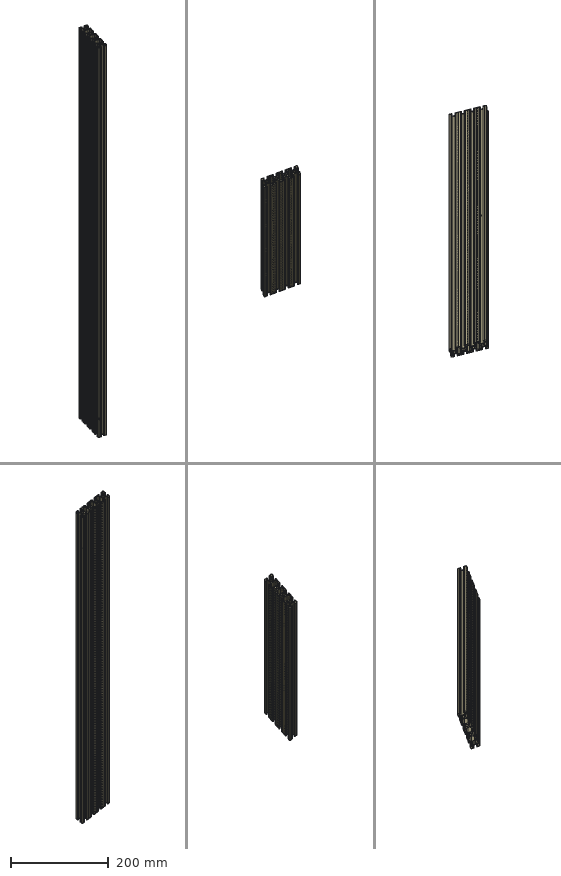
import cadquery as cq

LENGTH = 1000.0
CELL = 20.0
CELL_COUNT = 4
WIDTH = CELL * CELL_COUNT
HALF_CELL = CELL / 2
CORNER_RADIUS = 1.5

NECK_WIDTH = 6.0
MOUTH_BEVEL = 0.5
LIP_THICKNESS = 1.6
POCKET_WIDTH = 11.0
POCKET_SIDE_HEIGHT = 1.5
SLOT_DEPTH = 5.8
FLOOR_RADIUS = 1.0

BORE_DIAMETER = 5.0

CHANNEL_HALF_WIDTH = 5.2
WALL_THICKNESS = 2.0
CHANNEL_CHAMFER = 4.4


def slot_cutter(cell_x, angle):
    """T-slot in one side of a cell; an angle of 0 opens it toward +Y."""
    lip_y = HALF_CELL - LIP_THICKNESS
    floor_y = HALF_CELL - SLOT_DEPTH
    knee_y = lip_y - POCKET_SIDE_HEIGHT
    half_floor = POCKET_WIDTH / 2 - (knee_y - floor_y)
    right_side = [
        (NECK_WIDTH / 2 + MOUTH_BEVEL, HALF_CELL),
        (NECK_WIDTH / 2, HALF_CELL - MOUTH_BEVEL),
        (NECK_WIDTH / 2, lip_y),
        (POCKET_WIDTH / 2, lip_y),
        (POCKET_WIDTH / 2, knee_y),
        (half_floor, floor_y),
    ]
    left_side = [(-x, y) for x, y in reversed(right_side)]
    slot = cq.Workplane("XY").polyline(right_side + left_side).close().extrude(LENGTH)
    slot = slot.faces("<Y").edges("|Z").fillet(FLOOR_RADIUS)
    return slot.rotate((0, 0, 0), (0, 0, 1), angle).translate((cell_x, 0, 0))


def channel_cutter(channel_x):
    """Closed rectangular channel with 45 degree corners."""
    channel_height = CELL - 2 * WALL_THICKNESS
    channel = cq.Workplane("XY").rect(2 * CHANNEL_HALF_WIDTH, channel_height).extrude(LENGTH)
    return channel.edges("|Z").chamfer(CHANNEL_CHAMFER).translate((channel_x, 0, 0))


def bore_cutter(cell_x):
    """Round bore through the full length."""
    return cq.Workplane("XY").center(cell_x, 0).circle(BORE_DIAMETER / 2).extrude(LENGTH)


cell_centres = [(i + 0.5) * CELL - WIDTH / 2 for i in range(CELL_COUNT)]
channel_centres = [x + HALF_CELL for x in cell_centres[:-1]]

result = cq.Workplane("XY").rect(WIDTH, CELL).extrude(LENGTH).edges("|Z").fillet(CORNER_RADIUS)

for cell_x in cell_centres:
    result = result.cut(slot_cutter(cell_x, 0))
    result = result.cut(slot_cutter(cell_x, 180))
    result = result.cut(bore_cutter(cell_x))

result = result.cut(slot_cutter(cell_centres[0], 90))
result = result.cut(slot_cutter(cell_centres[-1], -90))

for channel_x in channel_centres:
    result = result.cut(channel_cutter(channel_x))